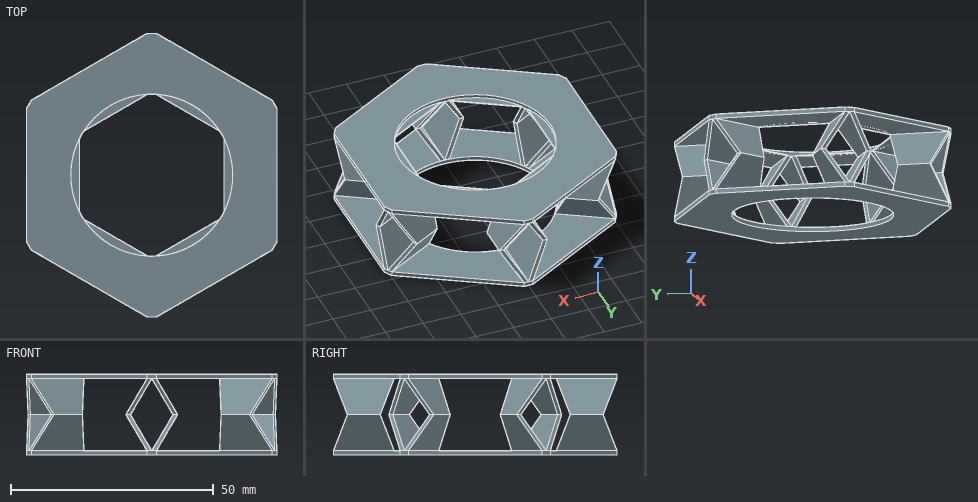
import cadquery as cq
import math

ACROSS_CORNERS = 70.0
ACROSS_FLATS = 61.8
HEIGHT = 20.0
PLATE_THICKNESS = 1.1
HOLE_DIAMETER = 40.0
LIP_ACROSS_FLATS = 35.55
LIP_THICKNESS = 0.2
STRUT_WALL_WIDTH = 1.2
STRUT_OPENING_WIDTH = 10.4
STRUT_WAIST_INSET = 3.4
CORNER_COUNT = 6

CORNER_ANGLE = 360 / CORNER_COUNT
PLATE_INNER_Z = HEIGHT / 2 - PLATE_THICKNESS
OUTER_RADIUS = ACROSS_CORNERS / 2
HOLE_RADIUS = HOLE_DIAMETER / 2


def hexagon_prism(across_flats, height):
    """Hexagonal prism on the XY plane with corners pointing along +Y and -Y."""
    corner_diameter = across_flats / math.cos(math.radians(CORNER_ANGLE / 2))
    prism = cq.Workplane("XY").polygon(CORNER_COUNT, corner_diameter).extrude(height)
    return prism.rotate((0, 0, 0), (0, 0, 1), CORNER_ANGLE / 2)


def truncated_hexagon(height):
    """Outer plate shape: a hexagon whose corners are cut flat by a turned hexagon."""
    corner_cutter = hexagon_prism(ACROSS_CORNERS, height).rotate((0, 0, 0), (0, 0, 1), CORNER_ANGLE / 2)
    return hexagon_prism(ACROSS_FLATS, height).intersect(corner_cutter)


def hole_disc(height):
    """Round volume of the plate hole, resting on the XY plane."""
    return cq.Workplane("XY").circle(HOLE_RADIUS).extrude(height)


def bottom_plate():
    """Flat end plate with a plain round hole, resting on the XY plane."""
    return truncated_hexagon(PLATE_THICKNESS).cut(hole_disc(PLATE_THICKNESS))


def top_plate():
    """End plate whose round hole keeps a thin hexagonal lip on its underside."""
    hexagonal_opening = hexagon_prism(LIP_ACROSS_FLATS, LIP_THICKNESS).intersect(hole_disc(LIP_THICKNESS))
    round_hole = hole_disc(PLATE_THICKNESS - LIP_THICKNESS).translate((0, 0, LIP_THICKNESS))
    return truncated_hexagon(PLATE_THICKNESS).cut(round_hole).cut(hexagonal_opening)


def strut_side():
    """The +X half of a diamond tube along +Y, with both ends notched towards mid height."""
    opening_half = STRUT_OPENING_WIDTH / 2
    waist_half = opening_half + STRUT_WALL_WIDTH
    wall = (
        cq.Workplane("XZ")
        .polyline([
            (0, -PLATE_INNER_Z),
            (STRUT_WALL_WIDTH, -PLATE_INNER_Z),
            (waist_half, 0),
            (STRUT_WALL_WIDTH, PLATE_INNER_Z),
            (0, PLATE_INNER_Z),
            (opening_half, 0),
        ])
        .close()
        .extrude(-OUTER_RADIUS)
    )
    notched_envelope = (
        cq.Workplane("YZ")
        .polyline([
            (HOLE_RADIUS, -PLATE_INNER_Z),
            (OUTER_RADIUS, -PLATE_INNER_Z),
            (OUTER_RADIUS - STRUT_WAIST_INSET, 0),
            (OUTER_RADIUS, PLATE_INNER_Z),
            (HOLE_RADIUS, PLATE_INNER_Z),
            (HOLE_RADIUS + STRUT_WAIST_INSET, 0),
        ])
        .close()
        .extrude(waist_half)
    )
    return wall.intersect(notched_envelope)


result = bottom_plate().translate((0, 0, -HEIGHT / 2))
result = result.union(top_plate().translate((0, 0, PLATE_INNER_Z)))

right_side = strut_side()
left_side = right_side.mirror("YZ")
for corner in range(CORNER_COUNT):
    for side in (right_side, left_side):
        result = result.union(side.rotate((0, 0, 0), (0, 0, 1), corner * CORNER_ANGLE))